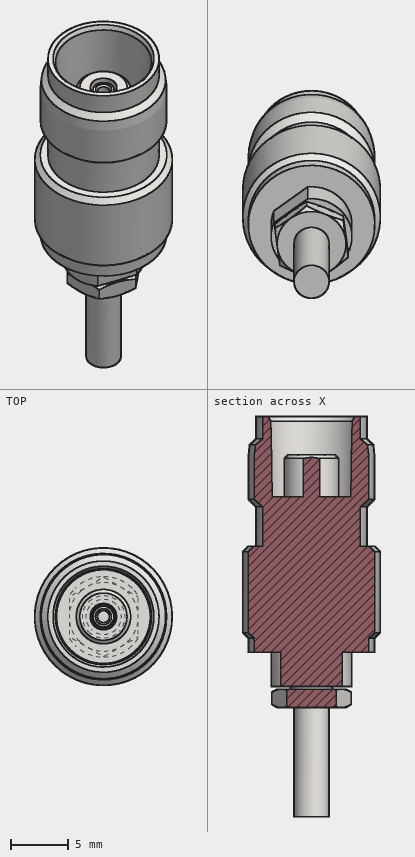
import cadquery as cq
import math

total_height = 34.85

cable_radius = 1.55
neck_radius = 1.85
barrel_radius = 6.0
collar_radius = 5.5
sleeve_radius = 4.85
ring_shoulder_radius = 5.4

nut_bottom = 9.5
nut_top = 11.1
bushing_bottom = 11.33
collar_bottom = 14.32
barrel_bottom = 15.55
barrel_top = 23.55
barrel_chamfer = barrel_radius - collar_radius
ring_bottom = 26.97
ring_bottom_chamfer = collar_radius - sleeve_radius
ring_taper_bottom = 31.35
ring_taper_top = 32.38
ring_top = 32.9

across_flats = 6.0
bushing_radius = 3.52
nut_sides = 6
nut_chamfer_angle = 30.0

mouth_radius = 4.4
lead_in_depth = 0.42
bore_top_radius = 4.18
bore_floor_radius = 4.08
bore_depth = 6.97

post_radius = 2.37
post_chamfer = 0.3
post_top = total_height - 3.35
post_hole_radius = 1.15
post_hole_floor_radius = 1.0
post_hole_depth = 2.8

contact_radius = 0.9
contact_recess = 0.28
contact_hole_radius = 0.52
contact_countersink = 0.17
contact_hole_depth = 1.75


def turned(profile):
    """Solid of revolution about Z from (radius, height) points, closed along the axis."""
    points = [(0, profile[0][1])] + profile + [(0, profile[-1][1])]
    return cq.Workplane("XZ").polyline(points).close().revolve(360, (0, 0), (0, 1))


def cylinder(radius, bottom, top):
    return cq.Workplane("XY").workplane(offset=bottom).circle(radius).extrude(top - bottom)


def make_shell():
    """Collar, barrel, coupling ring and sleeve."""
    return turned([
        (collar_radius, collar_bottom),
        (collar_radius, barrel_bottom),
        (barrel_radius, barrel_bottom + barrel_chamfer),
        (barrel_radius, barrel_top - barrel_chamfer),
        (collar_radius, barrel_top),
        (sleeve_radius, barrel_top),
        (sleeve_radius, ring_bottom),
        (collar_radius, ring_bottom + ring_bottom_chamfer),
        (collar_radius, ring_taper_bottom),
        (ring_shoulder_radius, ring_taper_top),
        (sleeve_radius, ring_top),
        (sleeve_radius, total_height),
    ])


def make_bore():
    """Slightly tapered bore with a conical lead-in at the mouth."""
    return turned([
        (bore_floor_radius, total_height - bore_depth),
        (bore_top_radius, total_height - lead_in_depth),
        (mouth_radius, total_height),
    ])


def make_post():
    """Chamfered insulator post with a slightly tapered hole around the centre contact."""
    floor = total_height - bore_depth
    post = cylinder(post_radius, floor, post_top).faces(">Z").chamfer(post_chamfer)
    hole = turned([
        (post_hole_floor_radius, post_top - post_hole_depth),
        (post_hole_radius, post_top),
    ])
    return post.cut(hole)


def make_contact():
    """Tubular contact, recessed below the post, with a countersunk socket."""
    top = post_top - contact_recess
    contact = cylinder(contact_radius, post_top - post_hole_depth, top)
    socket = turned([
        (contact_hole_radius, top - contact_hole_depth),
        (contact_hole_radius, top - contact_countersink),
        (contact_hole_radius + contact_countersink, top),
    ])
    return contact.cut(socket)


def make_bushing():
    """Round bushing with two flats facing -X and +X."""
    height = collar_bottom - bushing_bottom
    flats = cq.Workplane("XY").workplane(offset=bushing_bottom).rect(across_flats, 2 * bushing_radius)
    return flats.extrude(height).intersect(cylinder(bushing_radius, bushing_bottom, collar_bottom))


def make_nut():
    """Hexagonal clamp nut with flats facing -X and +X and corners chamfered at both ends."""
    corner_diameter = across_flats / math.cos(math.pi / nut_sides)
    corner_radius = corner_diameter / 2
    face_radius = across_flats / 2
    chamfer_height = (corner_radius - face_radius) * math.tan(math.radians(nut_chamfer_angle))
    hexagon = cq.Workplane("XY").workplane(offset=nut_bottom).polygon(nut_sides, corner_diameter)
    prism = hexagon.extrude(nut_top - nut_bottom).rotate((0, 0, 0), (0, 0, 1), 90)
    envelope = turned([
        (face_radius, nut_bottom),
        (corner_radius, nut_bottom + chamfer_height),
        (corner_radius, nut_top - chamfer_height),
        (face_radius, nut_top),
    ])
    return prism.intersect(envelope)


cable = cylinder(cable_radius, 0, nut_bottom)
neck = cylinder(neck_radius, nut_top, bushing_bottom)

result = (
    make_shell()
    .cut(make_bore())
    .union(make_post())
    .union(make_contact())
    .union(make_bushing())
    .union(neck)
    .union(make_nut())
    .union(cable)
)